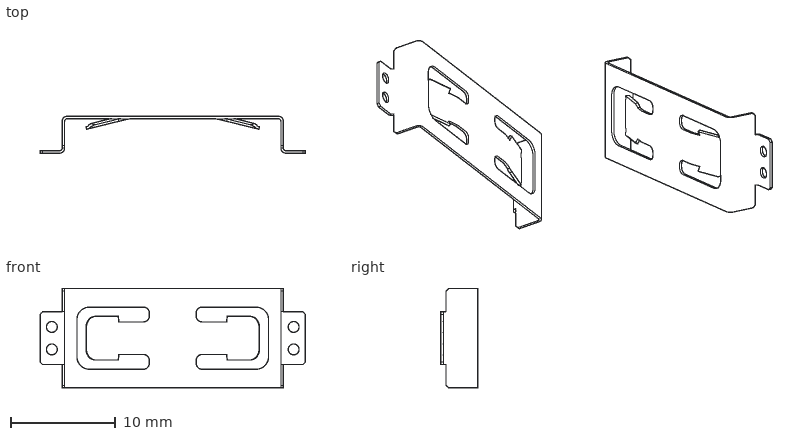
import cadquery as cq
import math

THICKNESS = 0.254
BEND_RADIUS = 0.254
CORNER_CHAMFER = 0.254

LENGTH = 25.4
DEPTH = 3.556
HEIGHT = 9.53
WALL_SPAN = 21.18

TAB_HEIGHT = 5.08
HOLE_DIAMETER = 1.02
HOLE_SPACING = 2.15
HOLE_FROM_END = 1.13

WINDOW_INNER_X = 2.25
WINDOW_OUTER_X = 9.16
WINDOW_HEIGHT = 5.92
WINDOW_CORNER_RADIUS = 1.18
SLOT_END_RADIUS = 0.55

TONGUE_WIDTH = 3.14
TONGUE_BEND_X = 3.81
TONGUE_BEND_RADIUS = 2.54
TONGUE_ANGLE = 13.75
TONGUE_FLAT_LENGTH = 3.95

WING_FROM_TONGUE_BEND = 0.76
WING_ANGLE = 30.0
PADDLE_WIDTH = 4.22
PADDLE_CORNER_RADIUS = 1.05

OUTER_RADIUS = BEND_RADIUS + THICKNESS
WALL_OUTER_X = WALL_SPAN / 2
WALL_INNER_X = WALL_OUTER_X - THICKNESS
WEB_BEND_X = WALL_OUTER_X - OUTER_RADIUS
TAB_BEND_X = WALL_INNER_X + OUTER_RADIUS
TAB_BEND_Y = -DEPTH + OUTER_RADIUS
TAB_END_X = LENGTH / 2


def polar(center, radius, degrees):
    """Point at a distance and direction from center."""
    angle = math.radians(degrees)
    return (center[0] + radius * math.cos(angle), center[1] + radius * math.sin(angle))


def bend(plane, center, inner_radius, start, end, width, both=False):
    """Sheet bent about center from the start angle to the end angle, in degrees."""
    outer_radius = inner_radius + THICKNESS
    middle = (start + end) / 2
    return (
        cq.Workplane(plane)
        .moveTo(*polar(center, inner_radius, start))
        .threePointArc(polar(center, inner_radius, middle), polar(center, inner_radius, end))
        .lineTo(*polar(center, outer_radius, end))
        .threePointArc(polar(center, outer_radius, middle), polar(center, outer_radius, start))
        .close()
        .extrude(width, both=both)
    )


def block(x_range, y_range, height):
    """Box between two X and two Y limits, centred on Z = 0."""
    size_x = x_range[1] - x_range[0]
    size_y = y_range[1] - y_range[0]
    box = cq.Workplane("XY").box(size_x, size_y, height, centered=(False, False, True))
    return box.translate((x_range[0], y_range[0], 0))


def half_web():
    """Web from the mid-plane to the wall bend, with its window cut out."""
    return block((0, WEB_BEND_X), (-THICKNESS, 0), HEIGHT).cut(window())


def window():
    """Window in the web, with a tongue left between two slots with rounded end corners."""
    opening = block((WINDOW_INNER_X, WINDOW_OUTER_X), (-THICKNESS, 0), WINDOW_HEIGHT)
    opening = opening.edges("|Y and >X").fillet(WINDOW_CORNER_RADIUS)
    tongue_gap = block((WINDOW_INNER_X, TONGUE_BEND_X), (-THICKNESS, 0), TONGUE_WIDTH)
    opening = opening.cut(tongue_gap)
    return opening.edges("|Y and <X").fillet(SLOT_END_RADIUS)


def wall():
    """Side wall with its bend from the web."""
    corner = bend("XY", (WEB_BEND_X, -OUTER_RADIUS), BEND_RADIUS, 0, 90, HEIGHT / 2, both=True)
    flat = block((WALL_INNER_X, WALL_OUTER_X), (TAB_BEND_Y, -OUTER_RADIUS), HEIGHT)
    flat = flat.edges("|X and <Y").chamfer(CORNER_CHAMFER)
    return corner.union(flat)


def tab():
    """Mounting tab with its bend from the wall and two holes."""
    corner = bend("XY", (TAB_BEND_X, TAB_BEND_Y), BEND_RADIUS, 180, 270, TAB_HEIGHT / 2, both=True)
    flat = block((TAB_BEND_X, TAB_END_X), (-DEPTH, -DEPTH + THICKNESS), TAB_HEIGHT)
    flat = flat.edges("|Y and >X").chamfer(CORNER_CHAMFER)
    holes = (
        cq.Workplane("XZ", origin=(TAB_END_X - HOLE_FROM_END, 0, 0))
        .rarray(1, HOLE_SPACING, 1, 2)
        .circle(HOLE_DIAMETER / 2)
        .extrude(DEPTH)
    )
    return corner.union(flat.cut(holes))


def tongue():
    """Spring tongue bent out of the web, with its flat end widened by two wings."""
    bend_center = (TONGUE_BEND_X, -THICKNESS - TONGUE_BEND_RADIUS)
    bend_end = 90 - TONGUE_ANGLE
    root = bend("XY", bend_center, TONGUE_BEND_RADIUS, bend_end, 90, TONGUE_WIDTH / 2, both=True)

    angle = math.radians(TONGUE_ANGLE)
    frame = cq.Plane(
        origin=(*polar(bend_center, TONGUE_BEND_RADIUS, bend_end), 0),
        xDir=(0, 0, 1),
        normal=(math.cos(angle), -math.sin(angle), 0),
    )
    flat = (
        cq.Workplane(frame)
        .center(0, -THICKNESS / 2)
        .rect(TONGUE_WIDTH, THICKNESS)
        .extrude(TONGUE_FLAT_LENGTH)
    )
    paddle = flat.union(wings(frame)).intersect(paddle_envelope(frame))
    return root.union(paddle)


def wings(frame):
    """The two wings, each a bend followed by a flat strip."""
    wing_frame = cq.Plane(
        origin=frame.toWorldCoords((0, 0, WING_FROM_TONGUE_BEND)), xDir=frame.xDir, normal=frame.zDir
    )
    length = TONGUE_FLAT_LENGTH - WING_FROM_TONGUE_BEND
    fold_end = 90 - WING_ANGLE
    center = (TONGUE_WIDTH / 2, -OUTER_RADIUS)
    fold = bend(wing_frame, center, BEND_RADIUS, fold_end, 90, length)

    inner_start = polar(center, BEND_RADIUS, fold_end)
    outer_start = polar(center, OUTER_RADIUS, fold_end)
    strip_width = (PADDLE_WIDTH / 2 - outer_start[0]) / math.cos(math.radians(WING_ANGLE))
    strip = (
        cq.Workplane(wing_frame)
        .polyline([
            inner_start,
            outer_start,
            polar(outer_start, strip_width, -WING_ANGLE),
            polar(inner_start, strip_width, -WING_ANGLE),
        ])
        .close()
        .extrude(length)
    )
    wing = fold.union(strip)
    return wing.union(wing.mirror("XY"))


def paddle_envelope(frame):
    """Prism square to the tongue that rounds the two corners at its tip."""
    return (
        cq.Workplane(frame)
        .rect(PADDLE_WIDTH, DEPTH)
        .extrude(TONGUE_FLAT_LENGTH)
        .faces(cq.selectors.DirectionMinMaxSelector(frame.zDir, True))
        .edges(cq.selectors.ParallelDirSelector(frame.yDir))
        .fillet(PADDLE_CORNER_RADIUS)
    )


half = half_web().union(wall()).union(tab()).union(tongue())
result = half.union(half.mirror("YZ")).solids()